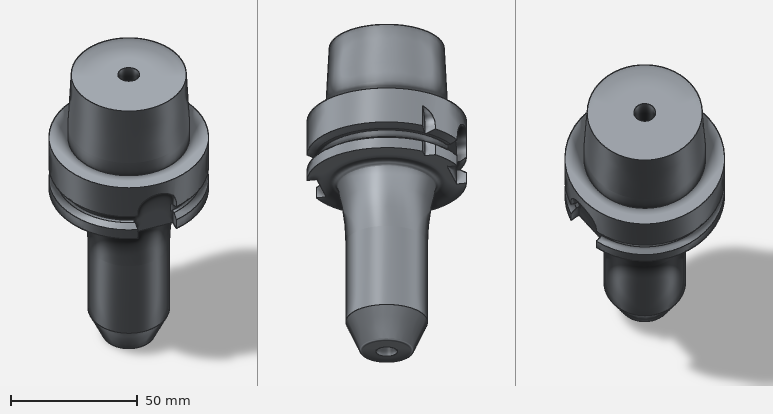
import cadquery as cq
import math

total_height = 132.0
tip_round = 1.2
nose_top = 13.0
shank_top = 47.1
neck_top = 71.8
flange_bottom = 74.0
flange_top = 100.0
taper_bottom = 106.4
groove_bottom = 80.1
groove_top = 83.7
groove_chamfer_height = 1.6

tip_radius = 10.3
shank_radius = 16.1
neck_radius = 19.4
flange_diameter = 63.0
flange_radius = flange_diameter / 2
groove_diameter = 54.8
groove_radius = groove_diameter / 2
groove_mouth_radius = 28.9
taper_base_radius = 24.0
taper_top_radius = 22.7
bore_radius = 4.2

slot_radius = 8.2
slot_top = 94.9
drive_slot_floor = 26.4
side_notch_floor = 20.0
side_notch_edge = 20.0


def turned_body():
    """Revolve the half profile of the holder about Z."""
    neck_rise = neck_top - shank_top
    neck_growth = neck_radius - shank_radius
    neck_arc_radius = (neck_rise**2 + neck_growth**2) / (2 * neck_growth)
    neck_angle = math.asin(neck_rise / neck_arc_radius)
    neck_middle = (
        shank_radius + neck_arc_radius * (1 - math.cos(neck_angle / 2)),
        shank_top + neck_arc_radius * math.sin(neck_angle / 2),
    )
    root_fillet = (flange_bottom - neck_top) / (1 - math.sin(neck_angle))
    root_center = (
        neck_radius + root_fillet * math.cos(neck_angle),
        flange_bottom - root_fillet,
    )
    root_middle_angle = (neck_angle + math.pi / 2) / 2
    root_middle = (
        root_center[0] - root_fillet * math.cos(root_middle_angle),
        root_center[1] + root_fillet * math.sin(root_middle_angle),
    )

    profile = (
        cq.Workplane("XZ")
        .lineTo(tip_radius, 0)
        .lineTo(shank_radius, nose_top)
        .lineTo(shank_radius, shank_top)
        .threePointArc(neck_middle, (neck_radius, neck_top))
        .threePointArc(root_middle, (root_center[0], flange_bottom))
        .lineTo(flange_radius, flange_bottom)
        .lineTo(flange_radius, groove_bottom - groove_chamfer_height)
        .lineTo(groove_mouth_radius, groove_bottom)
        .lineTo(groove_radius, groove_bottom)
        .lineTo(groove_radius, groove_top)
        .lineTo(groove_mouth_radius, groove_top)
        .lineTo(flange_radius, groove_top + groove_chamfer_height)
        .lineTo(flange_radius, flange_top)
        .lineTo(taper_base_radius, flange_top)
        .lineTo(taper_base_radius, taper_bottom)
        .lineTo(taper_top_radius, total_height)
        .lineTo(0, total_height)
        .close()
    )
    body = profile.revolve(360, (0, 0, 0), (0, 1, 0))
    return body.faces("<Z").edges().fillet(tip_round)


def round_top_slot(side, floor, center_y):
    """Cutter for a slot open downward, milled along X from one side (-1 or 1)."""
    arc_height = slot_top - slot_radius
    return (
        cq.Workplane("YZ", origin=(side * floor, center_y, 0))
        .moveTo(-slot_radius, flange_bottom)
        .lineTo(-slot_radius, arc_height)
        .threePointArc((0, slot_top), (slot_radius, arc_height))
        .lineTo(slot_radius, flange_bottom)
        .close()
        .extrude(side * flange_radius)
    )


result = turned_body()

for side in (-1, 1):
    result = result.cut(round_top_slot(side, drive_slot_floor, 0))

result = result.cut(round_top_slot(-1, side_notch_floor, side_notch_edge + slot_radius))

bore = cq.Workplane("XY").circle(bore_radius).extrude(total_height)
result = result.cut(bore)